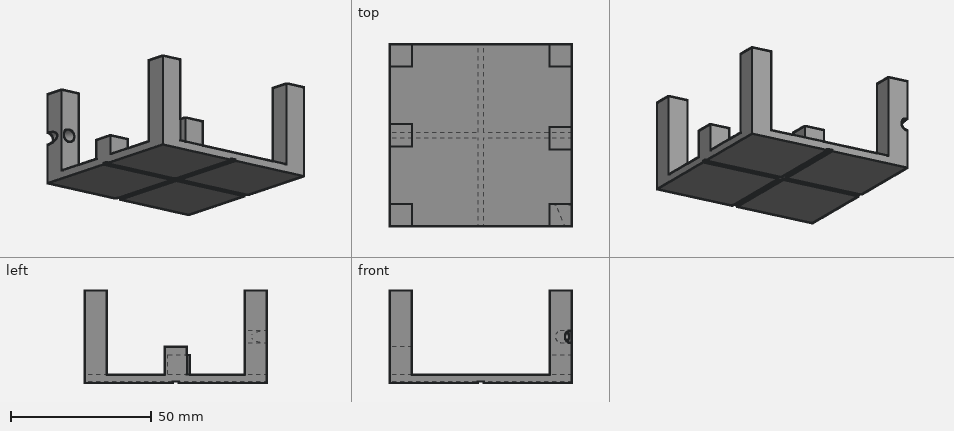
import cadquery as cq
import math

side_length = 65.0
plate_thickness = 3.0
overall_height = 33.0

post_width = 8.0
left_post_top = 13.0
left_post_y = 0.0
right_post_top = 10.0
right_post_y = -1.0

groove_width = 2.0
groove_depth = 0.5

hole_diameter = 4.5
hole_angle = 22.5
hole_inset = 0.12

half_side = side_length / 2
post_offset = half_side - post_width / 2


def make_post(x, y, top):
    """Square post that stands in the plate, from its underside up to the given height."""
    return cq.Workplane("XY").center(x, y).rect(post_width, post_width).extrude(top)


def make_groove(x_size, y_size):
    """Shallow rectangular groove centred on the underside."""
    return cq.Workplane("XY").rect(x_size, y_size).extrude(groove_depth)


def make_slanted_hole():
    """Horizontal cylinder at half height that opens the outer vertical edge of the post."""
    slant = math.radians(hole_angle)
    axis = cq.Vector(-math.sin(slant), math.cos(slant), 0)
    entry_point = cq.Vector(half_side - hole_inset, -half_side, overall_height / 2)
    overrun = post_width / 2
    start = entry_point - axis * overrun
    length = post_width / math.cos(slant) + 2 * overrun
    return cq.Workplane(cq.Solid.makeCylinder(hole_diameter / 2, length, start, axis))


result = cq.Workplane("XY").rect(side_length, side_length).extrude(plate_thickness)

for x in (-post_offset, post_offset):
    for y in (-post_offset, post_offset):
        result = result.union(make_post(x, y, overall_height))

result = result.union(make_post(-post_offset, left_post_y, left_post_top))
result = result.union(make_post(post_offset, right_post_y, right_post_top))

result = result.cut(make_groove(side_length, groove_width))
result = result.cut(make_groove(groove_width, side_length))
result = result.cut(make_slanted_hole())